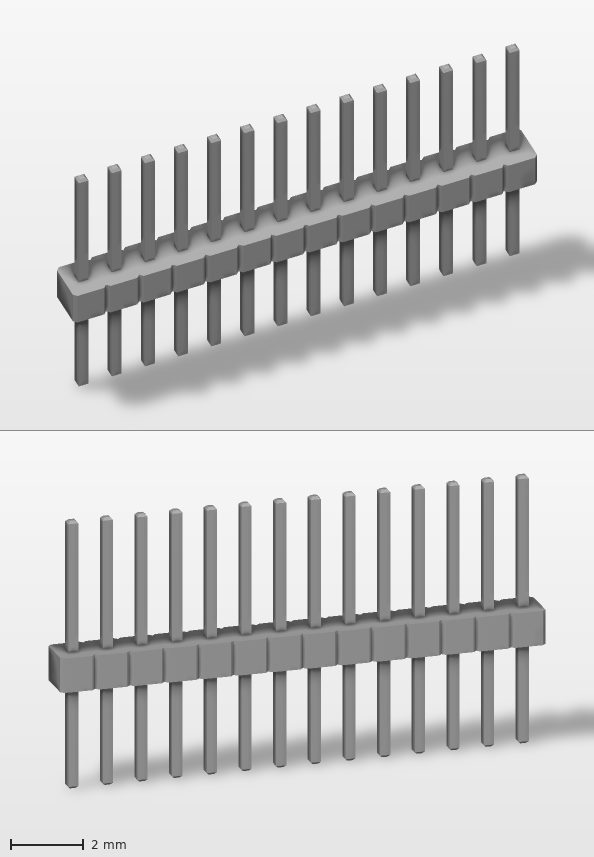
import cadquery as cq

pin_count = 14
row_length = 14.0
pitch = row_length / pin_count

body_width = 1.27
body_height = pitch
corner_chamfer = 0.1

pin_width = 0.3
pin_length = 7.8
pin_tail = 3.0
tip_chamfer = 0.07

pin_places = [(0, (i - (pin_count - 1) / 2) * pitch) for i in range(pin_count)]


def body_block():
    """One pitch of the body; its chamfered corners form V-notches between neighbours."""
    block = cq.Workplane("XY").box(body_width, pitch, body_height, centered=(True, True, False))
    return block.edges("|Z").chamfer(corner_chamfer)


def pin():
    """Square pin through the body, with all edges of both ends chamfered."""
    post = cq.Workplane("XY").box(pin_width, pin_width, pin_length, centered=(True, True, False))
    return post.faces("<Z or >Z").chamfer(tip_chamfer).translate((0, 0, -pin_tail))


def along_row(shape):
    """Copies of a shape at every pin place, joined into one workplane."""
    solid = shape.val()
    return cq.Workplane("XY").pushPoints(pin_places).eachpoint(lambda place: solid.moved(place), combine=True)


body = along_row(body_block())
pins = along_row(pin())
result = body.union(pins).clean()